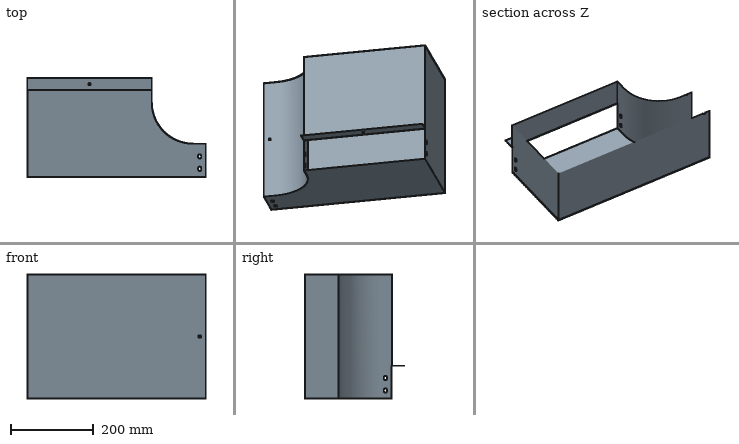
import cadquery as cq

sheet = 1.0
duct_width = 300.0
duct_depth = 80.0
bend_radius = 100.0
end_length_x = 31.0
end_length_y = 29.0
lip_length = 30.0

hole_inset = 15.0
slot_width = 7.0
slot_length = 10.0
slot_positions = (20.0, 50.0)
panel_hole_diameter = 7.0
cover_hole_diameter = 5.0

bend_center_x = duct_width + bend_radius
bend_center_y = duct_depth + bend_radius
body_x = bend_center_x + end_length_x
body_y = bend_center_y + end_length_y
cover_x = duct_width + sheet
cover_y = body_y + sheet

end_hole_x = body_x - hole_inset
end_hole_y = body_y - hole_inset
lip_hole_y = body_y + hole_inset


def box(x_range, y_range, z_range):
    """Box spanning the given (low, high) range on each axis."""
    ranges = (x_range, y_range, z_range)
    size = [high - low for low, high in ranges]
    corner = tuple(low for low, high in ranges)
    return cq.Workplane("XY").box(*size, centered=False).translate(corner)


def footprint(growth, height):
    """Body outline with its concave side moved outward by growth, raised to height."""
    diagonal = (bend_radius - growth) * 0.5**0.5
    return (
        cq.Workplane("XY")
        .lineTo(body_x, 0)
        .lineTo(body_x, duct_depth + growth)
        .lineTo(bend_center_x, duct_depth + growth)
        .threePointArc(
            (bend_center_x - diagonal, bend_center_y - diagonal),
            (duct_width + growth, bend_center_y),
        )
        .lineTo(duct_width + growth, body_y)
        .lineTo(0, body_y)
        .close()
        .extrude(height)
    )


def body_panels():
    """Front and left walls joined by matching floor and roof plates."""
    floor = footprint(0, sheet)
    roof = floor.translate((0, 0, duct_width - sheet))
    front = box((0, body_x), (0, sheet), (0, duct_width))
    left = box((0, sheet), (0, body_y), (0, duct_width))
    return floor.union(roof).union(front).union(left)


def curved_cover():
    """Full-height bent sheet lying against the concave side of floor and roof."""
    return footprint(sheet, duct_width).cut(footprint(0, duct_width))


def back_cover():
    """Plate closing the +Y side above its opening, with a lip bent outward."""
    plate = box((0, cover_x), (body_y, cover_y), (duct_depth - sheet, duct_width))
    lip = box(
        (0, cover_x),
        (body_y, body_y + lip_length),
        (duct_depth - sheet, duct_depth),
    )
    return plate.union(lip)


def slot_cutters():
    """Slots through both side walls at each open end of the duct."""
    cutters = cq.Workplane("XY")
    for position in slot_positions:
        across_x = (
            cq.Workplane("YZ")
            .center(end_hole_y, position)
            .slot2D(slot_length, slot_width, 90)
            .extrude(cover_x)
        )
        across_z = (
            cq.Workplane("XY")
            .center(end_hole_x, position)
            .slot2D(slot_length, slot_width, 90)
            .extrude(duct_width)
        )
        cutters = cutters.add(across_x).add(across_z)
    return cutters.combine()


def pin_along_y(diameter, y_start, y_end):
    """Round cutter at mid height of the +X end, between two Y positions."""
    return (
        cq.Workplane("XZ", origin=(end_hole_x, y_start, duct_width / 2))
        .circle(diameter / 2)
        .extrude(y_start - y_end)
    )


def lip_hole_cutter():
    """Round cutter through the middle of the lip."""
    return (
        cq.Workplane("XY")
        .center(cover_x / 2, lip_hole_y)
        .circle(cover_hole_diameter / 2)
        .extrude(duct_depth)
    )


panel_hole = pin_along_y(panel_hole_diameter, 0, sheet)
cover_hole = pin_along_y(cover_hole_diameter, duct_depth, duct_depth + sheet)

result = (
    body_panels()
    .union(curved_cover())
    .union(back_cover())
    .cut(slot_cutters())
    .cut(panel_hole)
    .cut(cover_hole)
    .cut(lip_hole_cutter())
)